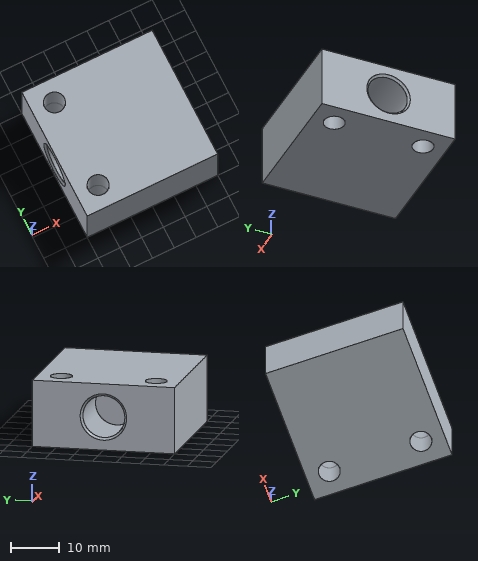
import cadquery as cq

side = 30.0
height = 14.0

mount_diameter = 4.5
mount_edge_distance = 5.0

port_diameter = 8.82
port_mouth_diameter = 9.78
port_depth = 12.0
port_chamfer = (port_mouth_diameter - port_diameter) / 2


def make_block():
    return cq.Workplane("XY").box(side, side, height)


def make_mounting_holes():
    offset = side / 2 - mount_edge_distance
    return (
        cq.Workplane("XY")
        .pushPoints([(-offset, -offset), (-offset, offset)])
        .circle(mount_diameter / 2)
        .extrude(height, both=True)
    )


def make_port():
    """Half section of the port revolved about the X axis."""
    mouth_x = -side / 2
    return (
        cq.Workplane("XZ")
        .moveTo(mouth_x, 0)
        .lineTo(mouth_x, port_mouth_diameter / 2)
        .lineTo(mouth_x + port_chamfer, port_diameter / 2)
        .lineTo(mouth_x + port_depth, port_diameter / 2)
        .lineTo(mouth_x + port_depth, 0)
        .close()
        .revolve(360, (mouth_x, 0), (mouth_x + port_depth, 0))
    )


result = make_block().cut(make_mounting_holes()).cut(make_port())